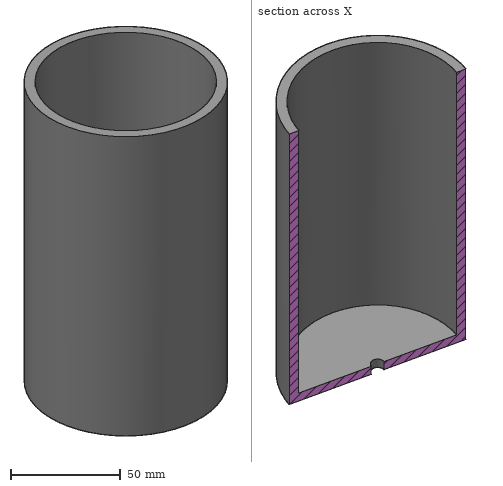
import cadquery as cq

height = 163.0
outer_diameter = 93.0
inner_diameter = 83.0
hole_diameter = 6.7

wall_thickness = (outer_diameter - inner_diameter) / 2
floor_thickness = wall_thickness

body = cq.Workplane("XY").circle(outer_diameter / 2).extrude(height)

cavity = (
    cq.Workplane("XY")
    .workplane(offset=floor_thickness)
    .circle(inner_diameter / 2)
    .extrude(height - floor_thickness)
)

drain_hole = cq.Workplane("XY").circle(hole_diameter / 2).extrude(floor_thickness)

result = body.cut(cavity).cut(drain_hole)